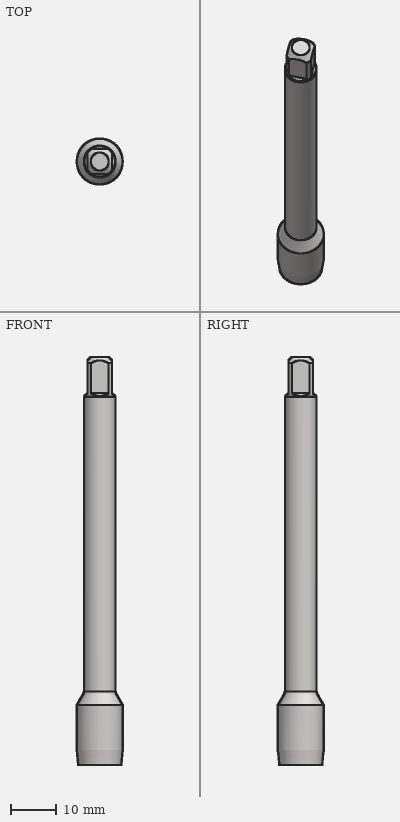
import cadquery as cq

total_length = 90.1
shaft_diameter = 7.0
drive_corner_diameter = 6.8
drive_width = 5.5
drive_tip_diameter = 4.0
shaft_shoulder_z = 81.3
flat_bottom_z = 82.1
flat_runout_height = 0.7

sleeve_diameter = 10.2
sleeve_foot_diameter = 9.55
sleeve_foot_height = 3.2
sleeve_cone_bottom_z = 13.2
sleeve_cone_top_z = 15.7
sleeve_cone_top_diameter = 7.4
sleeve_top_z = 16.2

shaft_radius = shaft_diameter / 2
corner_radius = drive_corner_diameter / 2
tip_radius = drive_tip_diameter / 2
shoulder_chamfer = shaft_radius - corner_radius
tip_chamfer = corner_radius - tip_radius


def revolve_profile(points):
    """Revolve a closed (radius, height) outline about the Z axis."""
    return cq.Workplane("XZ").polyline(points).close().revolve(360, (0, 0), (0, 1))


def make_flat_cutter():
    """Cutter for the +X drive flat, with a sloped run-out at its lower end."""
    flat_x = drive_width / 2
    outside_x = shaft_diameter
    runout_slope = flat_runout_height / (shaft_radius - flat_x)
    outside_z = flat_bottom_z - runout_slope * (outside_x - flat_x)
    return (
        cq.Workplane("XZ")
        .polyline([
            (flat_x, flat_bottom_z),
            (outside_x, outside_z),
            (outside_x, total_length),
            (flat_x, total_length),
        ])
        .close()
        .extrude(shaft_radius, both=True)
    )


def make_shaft():
    """Round shaft with a chamfered tip and four drive flats."""
    shaft = revolve_profile([
        (0, 0),
        (shaft_radius, 0),
        (shaft_radius, shaft_shoulder_z),
        (corner_radius, shaft_shoulder_z + shoulder_chamfer),
        (corner_radius, total_length - tip_chamfer),
        (tip_radius, total_length),
        (0, total_length),
    ])
    flat_cutter = make_flat_cutter()
    for angle in (0, 90, 180, 270):
        shaft = shaft.cut(flat_cutter.rotate((0, 0, 0), (0, 0, 1), angle))
    return shaft


def make_sleeve():
    """Sleeve with a tapered foot and a two-step conical top, bored to fit the shaft."""
    return revolve_profile([
        (shaft_radius, 0),
        (sleeve_foot_diameter / 2, 0),
        (sleeve_diameter / 2, sleeve_foot_height),
        (sleeve_diameter / 2, sleeve_cone_bottom_z),
        (sleeve_cone_top_diameter / 2, sleeve_cone_top_z),
        (shaft_radius, sleeve_top_z),
    ])


shaft = make_shaft()
sleeve = make_sleeve()
result = cq.Compound.makeCompound([shaft.val(), sleeve.val()])